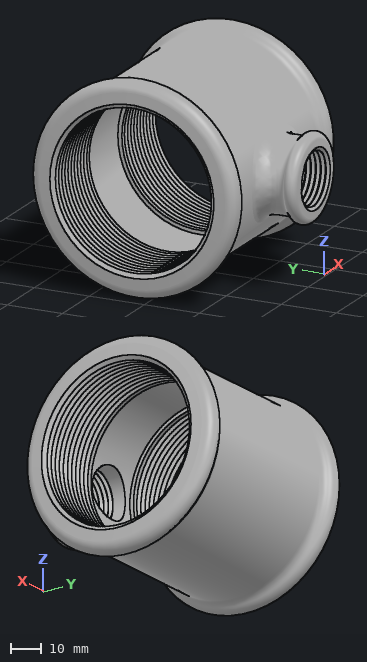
import cadquery as cq
import math


run_length = 76.5
run_radius = 34.5
run_rim_radius = 37.5
run_rim_round = 3.9
run_rim_blend = 3.9
run_thread_major = 29.8
run_thread_minor = 28.35
run_thread_pitch = 2.3
run_thread_turns = 11
run_thread_runout = 1.9
chamber_radius = run_thread_major

overall_depth = 85.7
branch_reach = overall_depth - run_rim_radius
branch_radius = 13.45
branch_rim_radius = 15.6
branch_rim_round = 2.5
branch_rim_blend = 2.7
branch_thread_major = 10.6
branch_thread_minor = 9.4
branch_thread_pitch = 1.8
branch_thread_turns = 8
branch_fillet = 6.0

mouth_slope = math.radians(3.6)


def spin_about_z(profile):
    return profile.close().revolve(360, (0, 0, 0), (0, 1, 0))


def z_to_x(body):
    """Turn a body built along +Z so that it points along +X."""
    return body.rotate((0, 0, 0), (1, 1, 1), 120)


def z_to_minus_y(body):
    """Turn a body built along +Z so that it points along -Y."""
    return body.rotate((0, 0, 0), (1, 0, 0), 90)


def beaded_pipe(length, radius, rim_radius, rim_round, rim_blend, mouth_radius):
    """Solid bar from z = 0 to z = length with a rounded bead at the far end, blended into the wall."""
    bead_r = rim_radius - rim_round
    lip_r = bead_r + rim_round * math.sin(mouth_slope)
    lip_z = length - (lip_r - mouth_radius) * math.tan(mouth_slope)
    bead_z = lip_z - rim_round * math.cos(mouth_slope)

    hollow_r = radius + rim_blend
    centre_distance = rim_round + rim_blend
    lean = math.asin((hollow_r - bead_r) / centre_distance)
    hollow_z = bead_z - centre_distance * math.cos(lean)

    def bead_point(angle):
        return bead_r + rim_round * math.sin(angle), bead_z + rim_round * math.cos(angle)

    def hollow_point(angle):
        return hollow_r - rim_blend * math.sin(angle), hollow_z + rim_blend * math.cos(angle)

    bead_end = math.pi - lean
    profile = (
        cq.Workplane("XZ")
        .lineTo(radius, 0)
        .lineTo(radius, hollow_z)
        .threePointArc(hollow_point((lean + math.pi / 2) / 2), hollow_point(lean))
        .threePointArc(bead_point((bead_end + mouth_slope) / 2), (lip_r, lip_z))
        .lineTo(mouth_radius, length)
        .lineTo(0, length)
    )
    return spin_about_z(profile)


def last_crest(mouth, pitch, turns):
    """Height of the innermost thread crest."""
    return mouth - (turns - 0.5) * pitch


def threaded_bore(mouth, bottom, major, minor, pitch, turns):
    """Bore from z = mouth down to z = bottom, with ring-shaped V threads starting at the mouth."""
    profile = cq.Workplane("XZ").moveTo(0, mouth)
    for turn in range(turns):
        root = mouth - turn * pitch
        profile = profile.lineTo(major, root).lineTo(minor, root - pitch / 2)
    profile = profile.lineTo(minor, bottom).lineTo(0, bottom)
    return spin_about_z(profile)


half_length = run_length / 2
half_run = z_to_x(
    beaded_pipe(half_length, run_radius, run_rim_radius, run_rim_round, run_rim_blend, run_thread_major)
)
run = half_run.union(half_run.mirror("YZ")).clean()
branch = z_to_minus_y(
    beaded_pipe(branch_reach, branch_radius, branch_rim_radius, branch_rim_round, branch_rim_blend,
                branch_thread_major)
)
body = run.union(branch)

joint_margin = 0.85
joint_half_width = branch_radius + joint_margin
joint_back = math.sqrt(run_radius**2 - branch_radius**2) - joint_margin
joint_box = cq.selectors.BoxSelector(
    (-joint_half_width, -run_radius - joint_margin, -joint_half_width),
    (joint_half_width, -joint_back, joint_half_width),
    boundingbox=True,
)
body = body.edges(joint_box).fillet(branch_fillet)

run_bore = z_to_x(
    threaded_bore(half_length, 0, run_thread_major, run_thread_minor, run_thread_pitch, run_thread_turns)
)
chamber_half_length = last_crest(half_length, run_thread_pitch, run_thread_turns) - run_thread_runout
chamber = cq.Workplane("YZ").circle(chamber_radius).extrude(chamber_half_length, both=True)
branch_bore = z_to_minus_y(
    threaded_bore(branch_reach, 0, branch_thread_major, branch_thread_minor, branch_thread_pitch,
                  branch_thread_turns)
)

result = body.cut(run_bore).cut(run_bore.mirror("YZ")).cut(chamber).cut(branch_bore)